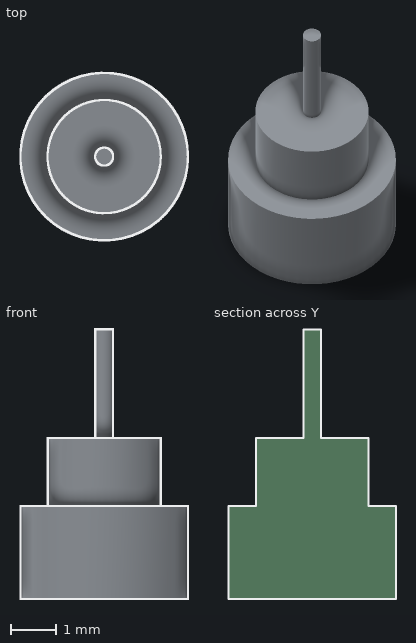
import cadquery as cq

total_height = 5.95
base_diameter = 3.7
base_height = 2.05
collar_diameter = 2.5
collar_height = 1.5
insulator_diameter = 1.95
pin_diameter = 0.4

collar_top = base_height + collar_height


def cylinder(diameter, bottom, top):
    """Upright cylinder on the Z axis between two heights."""
    return cq.Workplane("XY").workplane(offset=bottom).circle(diameter / 2).extrude(top - bottom)


base = cylinder(base_diameter, 0, base_height)
collar = cylinder(collar_diameter, base_height, collar_top)
bore = cylinder(insulator_diameter, base_height, collar_top)
shell = base.union(collar).cut(bore)

insulator = cylinder(insulator_diameter, base_height, collar_top)
pin = cylinder(pin_diameter, collar_top, total_height)

result = shell.union(insulator, clean=False).union(pin, clean=False)